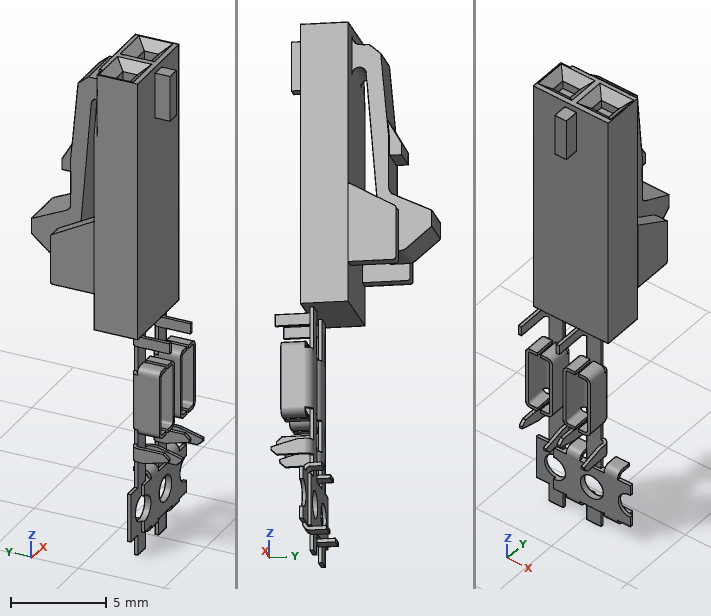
import cadquery as cq


pitch = 2.5
positions = (-pitch / 2, pitch / 2)
body_width = 4.95
body_depth = 2.54
body_height = 15.2

mouth_width, mouth_depth = 2.23, 2.0
throat_width, throat_depth = 1.13, 0.83
mouth_spacing = 2.56
mouth_y = 1.3
funnel_height = 0.5
throat_height = 0.5

key_width = 0.76
key_projection = 0.87
key_bottom, key_top = 12.19, 14.85

notch_width = 0.62
notch_depth = 0.17
notch_bottom = 11.58

rail_outer = 2.49
rail_width = 0.79
rail_projection = 2.55
rail_bottom, rail_shoulder, rail_top = 2.15, 5.05, 6.46
rail_corner = 0.15

latch_width = 2.58
catch_width = 2.05
latch_root_radius = 0.5
latch_top = 14.26
latch_top_y = 3.45
latch_shoulder = (4.06, 13.74)
latch_knee = (4.48, 9.22)
latch_heel = (latch_knee[0], 6.15)
thumb_y = 6.78
thumb_top, thumb_bottom = 5.07, 4.19
latch_toe = (5.3, 2.95)
latch_inner_bottom = (4.1, latch_toe[1])
latch_inner_top = (3.28, 12.76)
latch_gap_crown = (2.95, 13.04)
latch_gap_root = 12.66
catch_y = 5.12
catch_top, catch_nose, catch_bottom = 10.19, 8.88, 8.24
catch_root_y = 4.3
catch_top_y = 4.36
heel_fillet = 0.5
toe_fillet = 0.6

sheet = 0.2
pin_width = 0.94
pin_front = 0.36
pin_back = pin_front + sheet
pin_bottom = -13.25
wing_half_width = 0.9
bend_radius = 0.38
wing_root = pin_back - bend_radius

lock_tab_height = 0.61
lock_tab_tip = -1.7

barrel_top, barrel_bottom = -1.89, -5.9
barrel_front = -1.11
barrel_corner = 0.36
seam_gap = 0.22
channel_top, channel_bottom = -2.3, -5.56

fork_top = -6.66
fork_axis = -7.36
fork_split = -7.46
fork_tip = -1.63
fork_tip_top, fork_tip_bottom = -6.93, -7.08
fork_notch_shoulder = -7.17
fork_notch_y = -0.2
fork_shoulder = -1.33

strip_top, strip_bottom = -9.25, -12.07
strip_z = (strip_top + strip_bottom) / 2
strip_left_reach = 1.3
strip_overlap = 0.04
strip_total_width = 6.35
pilot_radius = 0.75
layer_offset = 0.17
strip_front = pin_front - layer_offset
tongue_width = 0.9
tongue_bend = 0.43
tongue_top = strip_top + tongue_bend
tongue_bottom = strip_bottom - tongue_bend
tongue_top_back, tongue_bottom_back = 1.22, 1.49


def block(x0, x1, y0, y1, z0, z1):
    """Axis-aligned box between two opposite corners."""
    return cq.Workplane("XY").box(x1 - x0, y1 - y0, z1 - z0, centered=False).translate((x0, y0, z0))


def side_plate(points, x0, x1):
    """Closed (y, z) outline extruded from x0 to x1."""
    return cq.Workplane("YZ", origin=(x0, 0, 0)).polyline(points).close().extrude(x1 - x0)


def wire_entry(x):
    """Tapered mouth leading into a short rectangular throat."""
    mouth = cq.Workplane("XY", origin=(x, mouth_y, body_height))
    funnel = (
        mouth.rect(mouth_width, mouth_depth)
        .workplane(offset=-funnel_height)
        .rect(throat_width, throat_depth)
        .loft(ruled=True)
    )
    throat = mouth.workplane(offset=-funnel_height).rect(throat_width, throat_depth).extrude(-throat_height)
    return funnel.union(throat)


def ramped_notch(x0):
    """Wedge that starts at the side face x0 and widens inwards up to the housing top."""
    outline = [(x0, notch_bottom), (x0 + notch_width, body_height), (x0, body_height)]
    return cq.Workplane("XZ", origin=(0, body_depth, 0)).polyline(outline).close().extrude(notch_depth)


def guard_rail(x0):
    back = body_depth + rail_projection
    outline = [(body_depth, rail_bottom), (back, rail_bottom), (back, rail_shoulder), (body_depth, rail_top)]
    return side_plate(outline, x0, x0 + rail_width).faces(">Y").edges("|X").fillet(rail_corner)


def edge_through(point):
    """Selector for the X-parallel latch edge at a (y, z) point."""
    return cq.selectors.NearestToPointSelector((0, *point))


def latch():
    """Springy arm hanging from the housing top, with a thumb pad at its lower end."""
    arm = (
        cq.Workplane("YZ", origin=(-latch_width / 2, 0, 0))
        .moveTo(body_depth, latch_top + latch_root_radius)
        .radiusArc((body_depth + latch_root_radius, latch_top), -latch_root_radius)
        .lineTo(latch_top_y, latch_top)
        .lineTo(*latch_shoulder)
        .lineTo(*latch_knee)
        .lineTo(*latch_heel)
        .lineTo(thumb_y, thumb_top)
        .lineTo(thumb_y, thumb_bottom)
        .lineTo(*latch_toe)
        .lineTo(*latch_inner_bottom)
        .lineTo(*latch_inner_top)
        .threePointArc(latch_gap_crown, (body_depth, latch_gap_root))
        .close()
        .extrude(latch_width)
    )
    arm = arm.edges(edge_through(latch_heel)).fillet(heel_fillet)
    arm = arm.edges(edge_through(latch_toe)).fillet(toe_fillet)
    catch_outline = [
        (catch_top_y, catch_top),
        (catch_y, catch_nose),
        (catch_y, catch_bottom),
        (catch_root_y, catch_bottom),
    ]
    return arm.union(side_plate(catch_outline, -catch_width / 2, catch_width / 2))


def housing():
    half = body_width / 2
    body = block(-half, half, 0, body_depth, 0, body_height)
    body = body.cut(ramped_notch(-half))
    for x in (-mouth_spacing / 2, mouth_spacing / 2):
        body = body.cut(wire_entry(x))
    for x0 in (-rail_outer, rail_outer - rail_width):
        body = body.union(guard_rail(x0))
    key = block(-key_width / 2, key_width / 2, -key_projection, 0, key_bottom, key_top)
    return body.union(key).union(latch())


def channel(z_bottom, z_top):
    """U-shaped bend joining the flat pin to its two side wings."""
    inner_half = wing_half_width - sheet
    front = wing_root - bend_radius
    outer = block(-wing_half_width, wing_half_width, front, pin_back, z_bottom, z_top)
    outer = outer.faces(">Y").edges("|Z").fillet(bend_radius)
    inner = block(-inner_half, inner_half, front, pin_front, z_bottom, z_top)
    inner = inner.faces(">Y").edges("|Z").fillet(bend_radius - sheet)
    bend_zone = block(-wing_half_width, wing_half_width, wing_root, pin_back, z_bottom, z_top)
    return outer.cut(inner).intersect(bend_zone)


def half_channel(z_bottom, z_top, side):
    """One bend of the U channel, on the left (side = -1) or right (side = 1)."""
    keep_x = sorted((0, side * wing_half_width))
    return channel(z_bottom, z_top).intersect(block(*keep_x, wing_root, pin_back, z_bottom, z_top))


def wing_span(side):
    return sorted((side * wing_half_width, side * (wing_half_width - sheet)))


def barrel():
    """Rectangular ring of sheet, split by a seam at its top and bottom."""
    height = barrel_top - barrel_bottom
    length = wing_root - barrel_front
    start = cq.Workplane("XZ", origin=(0, wing_root, (barrel_top + barrel_bottom) / 2))
    outer = start.rect(2 * wing_half_width, height).extrude(length).edges("|Y").fillet(barrel_corner)
    inner = start.rect(2 * (wing_half_width - sheet), height - 2 * sheet).extrude(length)
    inner = inner.edges("|Y").fillet(barrel_corner - sheet)
    seam = start.rect(seam_gap, height).extrude(length)
    return outer.cut(inner).cut(seam).union(channel(channel_bottom, channel_top))


def lock_tab():
    x0, x1 = wing_span(-1)
    tab = block(x0, x1, lock_tab_tip, wing_root, -lock_tab_height, 0)
    return tab.union(half_channel(-lock_tab_height, 0, -1))


def fork_tab(side):
    """Pointed tab; the left one is the upper prong, the right one the lower."""
    upper = [
        (wing_root, fork_top),
        (fork_shoulder, fork_top),
        (fork_tip, fork_tip_top),
        (fork_tip, fork_tip_bottom),
        (fork_shoulder, fork_notch_shoulder),
        (fork_notch_y, fork_split),
        (wing_root, fork_split),
    ]
    mirrored = [(y, 2 * fork_axis - z) for y, z in upper]
    outline = upper if side < 0 else mirrored
    heights = [z for _, z in outline]
    prong = side_plate(outline, *wing_span(side))
    return prong.union(half_channel(min(heights), max(heights), side))


def tongue():
    """Sheet C-clip that wraps backwards above and below the carrier strip."""
    deepest = max(tongue_top_back, tongue_bottom_back)
    outer = block(-tongue_width / 2, tongue_width / 2, strip_front, deepest, tongue_bottom, tongue_top)
    outer = outer.faces("<Y").edges("|X").fillet(tongue_bend)
    inner = block(-tongue_width / 2, tongue_width / 2, strip_front + sheet, deepest,
                  tongue_bottom + sheet, tongue_top - sheet)
    inner = inner.faces("<Y").edges("|X").fillet(tongue_bend - sheet)
    trim = block(-tongue_width / 2, tongue_width / 2, tongue_top_back, deepest, strip_z, tongue_top)
    return outer.cut(inner).cut(trim)


def terminal():
    """One terminal centred on X = 0."""
    half = pin_width / 2
    shape = block(-half, half, pin_front, pin_back, pin_bottom, 0)
    for feature in (lock_tab(), barrel(), fork_tab(-1), fork_tab(1)):
        shape = shape.union(feature)
    return shape


def carrier_strip():
    """Rear and front sheet layers with a tongue beside each pin."""
    left = positions[0] - strip_left_reach
    right = left + strip_total_width
    rear_right = positions[-1] + pitch - strip_left_reach
    front_left = positions[0] - strip_overlap
    strip = block(left, rear_right, pin_front, pin_back, strip_bottom, strip_top)
    strip = strip.union(block(front_left, right, strip_front, strip_front + sheet, strip_bottom, strip_top))
    for x in positions:
        strip = strip.union(tongue().translate((x + pitch / 2, 0, 0)))
    return strip


def pilot_holes():
    centres = [(x, strip_z) for x in (*positions, positions[-1] + pitch)]
    drill = cq.Workplane("XZ", origin=(0, pin_back, 0)).pushPoints(centres)
    return drill.circle(pilot_radius).extrude(pin_back - strip_front)


result = housing()
for x in positions:
    result = result.union(terminal().translate((x, 0, 0)))
result = result.union(carrier_strip()).cut(pilot_holes())